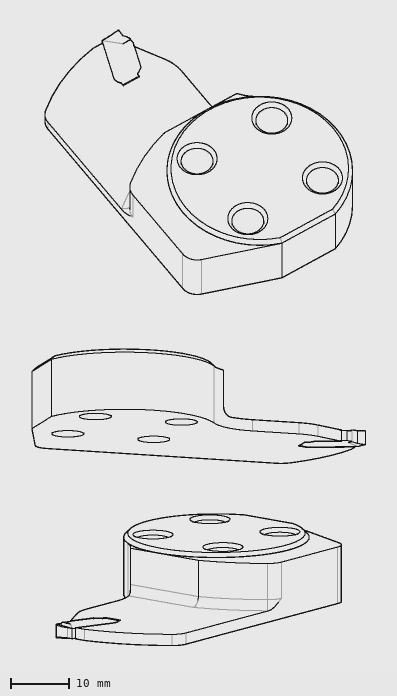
import cadquery as cq
import math


holder_height = 10.75
shoulder_height = 10.0
plate_thickness = 2.0

disc_radius = 16.0
disc_flat_x = 15.0
disc_chamfer = 0.7
bolt_circle_diameter = 22.0
bolt_hole_diameter = 5.5
bolt_hole_chamfer = 0.7
bolt_count = 4
first_bolt_angle = 45

lower_edge_y = -21.0
upper_edge_y = 4.25
neck_radius = 10.0
corner_radius = 3.0
right_slope = math.radians(20)
nose_slope = math.radians(28.5)
nose_corner_x = -32.2
nose_round_radius = 8.0
blade_front_x = -42.85

clearance_radius = 32.0
blade_arc_center_x = -11.35
wall_arc_center_x = 14.7
wall_x = -disc_radius
wall_fillet = 1.6

shank_half_thickness = 0.9
head_half_thickness = 1.24
head_rise_length = 2.5
head_step_x = -40.8
head_valley_y = -0.8
edge_land_width = 0.2
edge_land_depth = 0.1

insert_tilt = math.radians(20)
cutting_corner_x = -43.6
cutting_corner_y = 0.1
flank_start_x = -42.1
flank_mid = (-41.6, 0.5)
crest_start_x = -40.9
crest_end_x = -40.0
crest_y = 0.8
upper_corner_x = -34.8
tail_x = -34.0
tail_top_y = -2.4
tail_low_y = -5.8
heel_mid = (-34.7, -6.25)
heel_x = -35.6
heel_y = -6.25
front_x = -43.45
front_bend_y = -2.35
front_low_y = -3.35
insert_end_x = -33.5
end_gap = 0.2

margin = 10.0
pick_distance = 0.05


def x_on_circle(center_x, radius, y, side):
    """X where a circle centred on the X axis meets height y; side is -1 (left) or +1 (right)."""
    return center_x + side * math.sqrt(radius**2 - y**2)


def low_y_on_circle(center_x, radius, x):
    """Negative Y where a circle centred on the X axis meets the vertical line at x."""
    return -math.sqrt(radius**2 - (x - center_x) ** 2)


def vertical_edge_at(x, y):
    return cq.selectors.BoxSelector(
        (x - pick_distance, y - pick_distance, -margin),
        (x + pick_distance, y + pick_distance, 2 * holder_height),
    )


def block_from_x(start_x, side):
    """Large block that fills everything on one side of the plane x = start_x."""
    width = 2 * margin
    return cq.Workplane("XY").box(width, 4 * disc_radius, 4 * holder_height).translate(
        (start_x + side * width / 2, 0, 0)
    )


def holder_blank():
    """Full plan outline raised to the shoulder, with its three corners rounded."""
    neck_center_y = upper_edge_y + neck_radius
    center_distance = disc_radius + neck_radius
    neck_center_x = -math.sqrt(center_distance**2 - neck_center_y**2)
    touch_ratio = disc_radius / center_distance
    neck_end = (neck_center_x * touch_ratio, neck_center_y * touch_ratio)
    neck_end_angle = math.atan2(-neck_center_y, -neck_center_x)
    neck_mid_angle = (neck_end_angle - math.pi / 2) / 2
    neck_mid = (
        neck_center_x + neck_radius * math.cos(neck_mid_angle),
        neck_center_y + neck_radius * math.sin(neck_mid_angle),
    )

    flat_end_y = low_y_on_circle(0, disc_radius, disc_flat_x)
    right_corner_x = disc_flat_x - (flat_end_y - lower_edge_y) * math.tan(right_slope)

    left_corner_x = x_on_circle(blade_arc_center_x, clearance_radius, lower_edge_y, -1)
    blade_high_y = low_y_on_circle(blade_arc_center_x, clearance_radius, blade_front_x)
    blade_mid_y = (lower_edge_y + blade_high_y) / 2
    blade_mid_x = x_on_circle(blade_arc_center_x, clearance_radius, blade_mid_y, -1)
    nose_low_y = upper_edge_y - (nose_corner_x - blade_front_x) * math.tan(nose_slope)

    return (
        cq.Workplane("XY")
        .moveTo(nose_corner_x, upper_edge_y)
        .lineTo(neck_center_x, upper_edge_y)
        .threePointArc(neck_mid, neck_end)
        .threePointArc((0, disc_radius), (disc_flat_x, -flat_end_y))
        .lineTo(disc_flat_x, flat_end_y)
        .lineTo(right_corner_x, lower_edge_y)
        .lineTo(left_corner_x, lower_edge_y)
        .threePointArc((blade_mid_x, blade_mid_y), (blade_front_x, blade_high_y))
        .lineTo(blade_front_x, nose_low_y)
        .close()
        .extrude(shoulder_height)
        .edges(vertical_edge_at(left_corner_x, lower_edge_y)).fillet(corner_radius)
        .edges(vertical_edge_at(right_corner_x, lower_edge_y)).fillet(corner_radius)
        .edges(vertical_edge_at(nose_corner_x, upper_edge_y)).fillet(nose_round_radius)
    )


def blade_clearance():
    """Material removed above the blade; its lower inside edge carries the wall fillet."""
    wall_bend_y = low_y_on_circle(wall_arc_center_x, clearance_radius, wall_x)
    arc_mid_y = (wall_bend_y + lower_edge_y) / 2
    arc_mid_x = x_on_circle(wall_arc_center_x, clearance_radius, arc_mid_y, -1)
    corner_x = x_on_circle(wall_arc_center_x, clearance_radius, lower_edge_y, -1)
    far_left = blade_front_x - margin
    far_low = lower_edge_y - margin
    wall_foot = cq.selectors.BoxSelector(
        (wall_x - 1, lower_edge_y - 1, plate_thickness - 1),
        (disc_flat_x - 1, disc_radius - 1, plate_thickness + 1),
    )
    return (
        cq.Workplane("XY", origin=(0, 0, plate_thickness))
        .moveTo(wall_x, disc_radius)
        .lineTo(wall_x, wall_bend_y)
        .threePointArc((arc_mid_x, arc_mid_y), (corner_x, lower_edge_y))
        .lineTo(disc_flat_x, lower_edge_y)
        .lineTo(disc_flat_x, far_low)
        .lineTo(far_left, far_low)
        .lineTo(far_left, disc_radius)
        .close()
        .extrude(holder_height)
        .edges(vertical_edge_at(corner_x, lower_edge_y)).fillet(corner_radius)
        .edges(wall_foot).fillet(wall_fillet)
    )


def clamping_disc():
    return (
        cq.Workplane("XY")
        .circle(disc_radius)
        .extrude(holder_height)
        .cut(block_from_x(disc_flat_x, 1))
        .faces(">Z")
        .chamfer(disc_chamfer)
    )


def bolt_hole(angle):
    """Through hole with a chamfered mouth, placed on the bolt circle."""
    hole_radius = bolt_hole_diameter / 2
    reach = bolt_circle_diameter / 2
    return (
        cq.Workplane("XZ")
        .lineTo(hole_radius, 0)
        .lineTo(hole_radius, holder_height - bolt_hole_chamfer)
        .lineTo(hole_radius + bolt_hole_chamfer, holder_height)
        .lineTo(0, holder_height)
        .close()
        .revolve(360, (0, 0, 0), (0, 1, 0))
        .translate((reach * math.cos(angle), reach * math.sin(angle), 0))
    )


def make_holder():
    holder = holder_blank().cut(blade_clearance()).union(clamping_disc())
    for index in range(bolt_count):
        angle = math.radians(first_bolt_angle + index * 360 / bolt_count)
        holder = holder.cut(bolt_hole(angle))
    seat = insert_blank(insert_end_x + end_gap, -margin, margin)
    return holder.cut(seat)


def insert_blank(end_x, bottom, top):
    """Plan outline of the insert, ending at end_x, between two heights."""
    upper_corner_y = crest_y - (upper_corner_x - crest_end_x) * math.tan(insert_tilt)
    lower_front_y = heel_y + (heel_x - blade_front_x) * math.tan(insert_tilt)
    return (
        cq.Workplane("XY", origin=(0, 0, bottom))
        .moveTo(cutting_corner_x, cutting_corner_y)
        .lineTo(flank_start_x, cutting_corner_y)
        .threePointArc(flank_mid, (crest_start_x, crest_y))
        .lineTo(crest_end_x, crest_y)
        .lineTo(upper_corner_x, upper_corner_y)
        .lineTo(tail_x, tail_top_y)
        .lineTo(end_x, tail_top_y)
        .lineTo(end_x, tail_low_y)
        .lineTo(tail_x, tail_low_y)
        .threePointArc(heel_mid, (heel_x, heel_y))
        .lineTo(blade_front_x, lower_front_y)
        .lineTo(front_x, front_low_y)
        .lineTo(front_x, front_bend_y)
        .close()
        .extrude(top - bottom)
    )


def head_wedge(mid_height):
    """Wedge that thickens along the diagonal toward the cutting corner, alike above and below."""
    rise_plane = cq.Plane(
        origin=(head_step_x, head_valley_y, mid_height), xDir=(-1, 1, 0), normal=(1, 1, 0)
    )
    growth = (head_half_thickness - shank_half_thickness) / head_rise_length
    far_half_thickness = shank_half_thickness + growth * margin
    return (
        cq.Workplane(rise_plane)
        .moveTo(0, -shank_half_thickness)
        .lineTo(margin, -far_half_thickness)
        .lineTo(margin, far_half_thickness)
        .lineTo(0, shank_half_thickness)
        .close()
        .extrude(margin, both=True)
    )


def make_insert():
    mid_height = plate_thickness / 2
    shank = insert_blank(
        insert_end_x, mid_height - shank_half_thickness, mid_height + shank_half_thickness
    )
    front_edges = cq.selectors.BoxSelector(
        (cutting_corner_x - pick_distance, front_bend_y - pick_distance, -margin),
        (front_x + pick_distance, cutting_corner_y + pick_distance, margin),
        boundingbox=True,
    )
    head = (
        insert_blank(insert_end_x, -margin, margin)
        .intersect(head_wedge(mid_height))
        .intersect(block_from_x(head_step_x, -1))
        .edges(front_edges)
        .edges("not |Z")
        .chamfer(edge_land_depth, edge_land_width)
    )
    return shank.union(head)


holder = make_holder()
insert = make_insert()
result = cq.Compound.makeCompound([holder.solids().val(), insert.solids().val()])